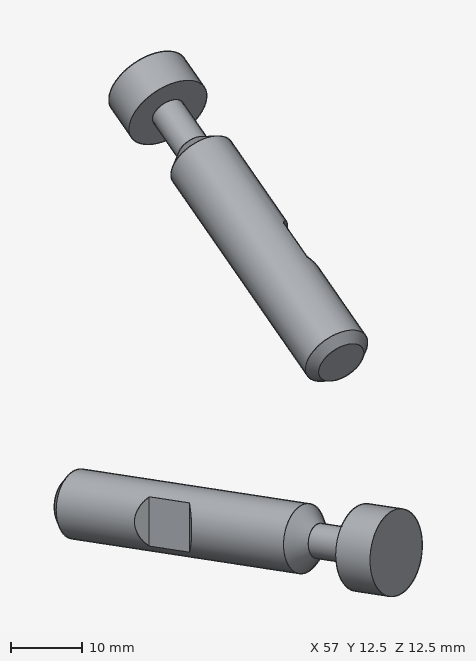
import cadquery as cq

total_length = 57.0
head_diameter = 12.5
head_length = 6.0
neck_diameter = 5.0
neck_end = 13.5
body_diameter = 10.0
end_chamfer = 1.35

notch_center = 37.0
notch_floor_length = 7.0
notch_depth = 1.5

head_radius = head_diameter / 2
neck_radius = neck_diameter / 2
body_radius = body_diameter / 2
shoulder_length = body_radius - neck_radius


def make_pin():
    """Revolve the half profile of head, neck, conical shoulder and body about X."""
    return (
        cq.Workplane("XY")
        .polyline([
            (0, 0),
            (0, head_radius),
            (head_length, head_radius),
            (head_length, neck_radius),
            (neck_end, neck_radius),
            (neck_end + shoulder_length, body_radius),
            (total_length - end_chamfer, body_radius),
            (total_length, body_radius - end_chamfer),
            (total_length, 0),
        ])
        .close()
        .revolve(360, (0, 0, 0), (1, 0, 0))
    )


def make_notch_cutter():
    """Trapezoid with its floor below the body surface, extruded across the body in Z."""
    floor_y = body_radius - notch_depth
    top_y = body_radius + notch_depth
    half_floor = notch_floor_length / 2
    half_top = half_floor + (top_y - floor_y)
    return (
        cq.Workplane("XY")
        .polyline([
            (notch_center - half_floor, floor_y),
            (notch_center + half_floor, floor_y),
            (notch_center + half_top, top_y),
            (notch_center - half_top, top_y),
        ])
        .close()
        .extrude(body_radius, both=True)
    )


result = make_pin().cut(make_notch_cutter())